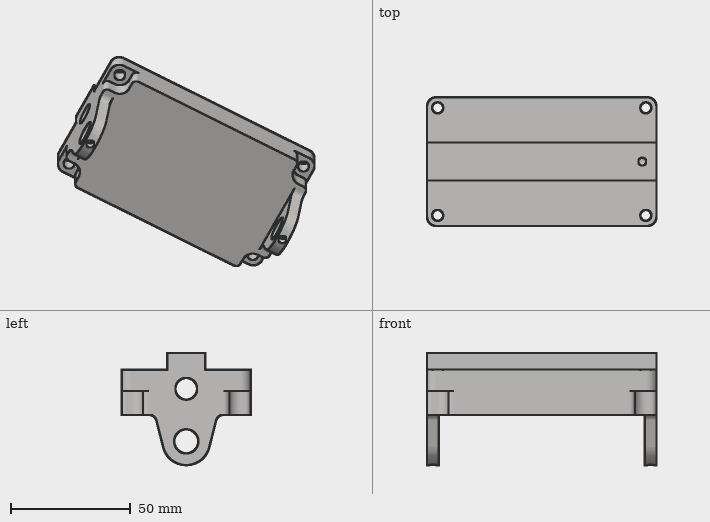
import cadquery as cq
import math

length = 96.1
width = 54.0
overall_height = 47.0
rib_width = 16.0
rib_height = 7.0
flange_thickness = 9.0
body_depth = 26.0
corner_radius = 4.0

screw_inset = 4.5
screw_diameter = 4.5
relief_radius = 4.5
relief_mouth_radius = 2.0

body_bore_diameter = 9.0
body_bore_depth = 15.0

lug_thickness = 5.0
lug_tip_radius = 10.0
lug_bore_diameter = 10.0
lug_root_half_width = 13.1
lug_root_fillet = 3.0

set_screw_diameter = 3.3
rib_screw_inset = 6.0

end_x = length / 2
side_y = width / 2
flange_top_z = -rib_height
flange_bottom_z = flange_top_z - flange_thickness
body_bottom_z = -body_depth
relief_height = flange_bottom_z - body_bottom_z
lug_axis_z = lug_tip_radius - overall_height
body_bore_z = -body_bore_depth


def box_between(x_size, y_size, bottom_z, top_z):
    """Box centred in X and Y between two heights."""
    return (
        cq.Workplane("XY", origin=(0, 0, bottom_z))
        .rect(x_size, y_size)
        .extrude(top_z - bottom_z)
    )


def make_block():
    """Rounded main block with the raised rib along its top."""
    block = box_between(length, width, body_bottom_z, flange_top_z)
    block = block.edges("|Z").fillet(corner_radius)
    rib = box_between(length, rib_width, flange_top_z, 0)
    return block.union(rib)


def make_relief(x_sign, y_sign):
    """Corner relief, rounded about the screw axis and flared where it meets the walls."""
    diagonal = math.sqrt(0.5)
    wall = screw_inset + relief_radius
    mouth = wall + relief_mouth_radius
    mouth_mid_inset = relief_mouth_radius * (1 - diagonal)
    arc_mid = screw_inset + relief_radius * diagonal

    def at(x_inset, y_inset):
        return (x_sign * (end_x - x_inset), y_sign * (side_y - y_inset))

    return (
        cq.Workplane("XY", origin=(0, 0, body_bottom_z))
        .moveTo(*at(0, 0))
        .lineTo(*at(mouth, 0))
        .threePointArc(at(wall + mouth_mid_inset, mouth_mid_inset), at(wall, relief_mouth_radius))
        .lineTo(*at(wall, screw_inset))
        .threePointArc(at(arc_mid, arc_mid), at(screw_inset, wall))
        .lineTo(*at(relief_mouth_radius, wall))
        .threePointArc(at(mouth_mid_inset, wall + mouth_mid_inset), at(0, mouth))
        .close()
        .extrude(relief_height)
    )


def make_lug(start_x):
    """Tapered lug with a round tip, tangent flanks and filleted roots."""
    axis_drop = body_bottom_z - lug_axis_z
    corner_distance = math.hypot(lug_root_half_width, axis_drop)
    corner_angle = math.atan2(axis_drop, lug_root_half_width)
    tilt = math.acos(lug_tip_radius / corner_distance) - corner_angle
    tangent_y = lug_tip_radius * math.cos(tilt)
    tangent_z = lug_axis_z - lug_tip_radius * math.sin(tilt)

    fillet_setback = lug_root_fillet * math.tan((math.pi / 2 - tilt) / 2)
    fillet_y = lug_root_half_width + fillet_setback
    fillet_centre_z = body_bottom_z - lug_root_fillet
    fillet_end_y = fillet_y - lug_root_fillet * math.cos(tilt)
    fillet_end_z = fillet_centre_z + lug_root_fillet * math.sin(tilt)
    mid_angle = (math.pi / 2 + tilt) / 2
    fillet_mid_y = fillet_y - lug_root_fillet * math.cos(mid_angle)
    fillet_mid_z = fillet_centre_z + lug_root_fillet * math.sin(mid_angle)

    return (
        cq.Workplane("YZ", origin=(start_x, 0, 0))
        .moveTo(-fillet_y, body_bottom_z)
        .threePointArc((-fillet_mid_y, fillet_mid_z), (-fillet_end_y, fillet_end_z))
        .lineTo(-tangent_y, tangent_z)
        .threePointArc((0, -overall_height), (tangent_y, tangent_z))
        .lineTo(fillet_end_y, fillet_end_z)
        .threePointArc((fillet_mid_y, fillet_mid_z), (fillet_y, body_bottom_z))
        .close()
        .extrude(lug_thickness)
    )


def make_long_bore(diameter, axis_z):
    """Bore along X over the full length."""
    return (
        cq.Workplane("YZ", origin=(-end_x, 0, axis_z))
        .circle(diameter / 2)
        .extrude(length)
    )


def make_vertical_hole(x, y, diameter, bottom_z, top_z):
    """Round hole along Z between two heights."""
    return (
        cq.Workplane("XY", origin=(x, y, bottom_z))
        .circle(diameter / 2)
        .extrude(top_z - bottom_z)
    )


result = make_block()

for lug_start_x in (-end_x, end_x - lug_thickness):
    result = result.union(make_lug(lug_start_x))

for x_sign in (-1, 1):
    for y_sign in (-1, 1):
        screw_x = x_sign * (end_x - screw_inset)
        screw_y = y_sign * (side_y - screw_inset)
        result = result.cut(make_relief(x_sign, y_sign))
        result = result.cut(
            make_vertical_hole(screw_x, screw_y, screw_diameter, flange_bottom_z, flange_top_z)
        )

result = result.cut(make_long_bore(body_bore_diameter, body_bore_z))
result = result.cut(make_long_bore(lug_bore_diameter, lug_axis_z))

result = result.cut(
    make_vertical_hole(end_x - rib_screw_inset, 0, set_screw_diameter, body_bore_z, 0)
)

for x_sign in (-1, 1):
    lug_screw_x = x_sign * (end_x - lug_thickness / 2)
    result = result.cut(
        make_vertical_hole(lug_screw_x, 0, set_screw_diameter, -overall_height, lug_axis_z)
    )